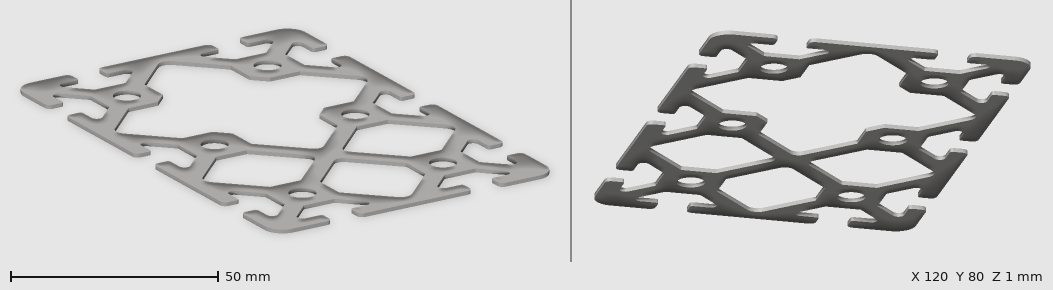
import cadquery as cq

columns = 3
rows = 2
length = 120.0
pitch = length / columns
width = pitch * rows
thickness = 1.0
corner_radius = 5.0

core_half = 7.7
hole_diameter = 6.8
web_offset = 3.3
core_chamfer = 3.6

mouth_half = 4.0
lip_thickness = 4.5
mouth_radius = 1.5
lip_radius = 0.7
slot_end_radius = 1.5

wall_tip_radius = 3.0
web_tip_radius = 2.4

half_pitch = pitch / 2
core_corner = core_half - web_offset
tip_reach = half_pitch - web_offset


def column_x(column):
    return (column - (columns - 1) / 2) * pitch


def row_y(row):
    return (row - (rows - 1) / 2) * pitch


def placed(solid, x, y, angle=0):
    """Turn a solid about the Z axis, then move it to (x, y)."""
    return solid.rotate((0, 0, 0), (0, 0, 1), angle).translate((x, y, 0))


def extruded(outline):
    return outline.close().extrude(thickness)


def make_slot():
    """T-slot of a cell at the origin, opening towards +Y."""
    lip_inside = half_pitch - lip_thickness
    slot_end = lip_inside - web_offset
    outline = (
        cq.Workplane("XY")
        .moveTo(-mouth_half - mouth_radius, half_pitch)
        .radiusArc((-mouth_half, half_pitch - mouth_radius), mouth_radius)
        .lineTo(-mouth_half, lip_inside)
        .lineTo(-slot_end, lip_inside)
        .lineTo(-core_corner, core_half)
        .lineTo(core_corner, core_half)
        .lineTo(slot_end, lip_inside)
        .lineTo(mouth_half, lip_inside)
        .lineTo(mouth_half, half_pitch - mouth_radius)
        .radiusArc((mouth_half + mouth_radius, half_pitch), mouth_radius)
    )
    slot = extruded(outline)
    slot = slot.edges("|Z").edges("<X or >X").fillet(slot_end_radius)
    lip_edges = cq.selectors.BoxSelector(
        (-mouth_half - lip_radius, lip_inside - lip_radius, -thickness),
        (mouth_half + lip_radius, lip_inside + lip_radius, 2 * thickness),
    )
    return slot.edges("|Z").edges(lip_edges).fillet(lip_radius)


def make_diamond(outer_tip):
    """Six-sided chamber between two cells side by side in X; outer_tip selects its tip at the wall."""
    inner_tip = "<Y" if outer_tip == ">Y" else ">Y"
    side_x = half_pitch - core_half
    outline = cq.Workplane("XY").polyline([
        (0, tip_reach),
        (side_x, core_corner),
        (side_x, -core_corner),
        (0, -tip_reach),
        (-side_x, -core_corner),
        (-side_x, core_corner),
    ])
    diamond = extruded(outline)
    diamond = diamond.edges("|Z").edges(outer_tip).fillet(wall_tip_radius)
    return diamond.edges("|Z").edges(inner_tip).fillet(web_tip_radius)


def make_large_chamber():
    """Cross-shaped chamber filling the space between four cells around the origin."""
    tip = pitch - web_offset
    far = half_pitch + core_corner
    side = half_pitch - core_half
    chamfer_end = side + core_chamfer
    quadrant = [(tip, 0), (far, side), (chamfer_end, side), (side, chamfer_end), (side, far)]
    points = []
    for _ in range(4):
        points += quadrant
        quadrant = [(-y, x) for x, y in quadrant]
    chamber = extruded(cq.Workplane("XY").polyline(points))
    chamber = chamber.edges("|Z").edges("<X or <Y or >Y").fillet(wall_tip_radius)
    return chamber.edges("|Z").edges(">X").fillet(web_tip_radius)


plate = cq.Workplane("XY").box(length, width, thickness, centered=(True, True, False))
plate = plate.edges("|Z").fillet(corner_radius)

hole_centres = [(column_x(c), row_y(r)) for c in range(columns) for r in range(rows)]
plate = plate.cut(
    cq.Workplane("XY").pushPoints(hole_centres).circle(hole_diameter / 2).extrude(thickness)
)

slot = make_slot()
for column in range(columns):
    plate = plate.cut(placed(slot, column_x(column), row_y(rows - 1), 0))
    plate = plate.cut(placed(slot, column_x(column), row_y(0), 180))
for row in range(rows):
    plate = plate.cut(placed(slot, column_x(0), row_y(row), 90))
    plate = plate.cut(placed(slot, column_x(columns - 1), row_y(row), -90))

plate = plate.cut(placed(make_large_chamber(), -half_pitch, 0))

plate = plate.cut(placed(make_diamond(">Y"), half_pitch, row_y(rows - 1)))
plate = plate.cut(placed(make_diamond("<Y"), half_pitch, row_y(0)))
plate = plate.cut(placed(make_diamond(">Y"), column_x(columns - 1), 0, -90))

result = plate